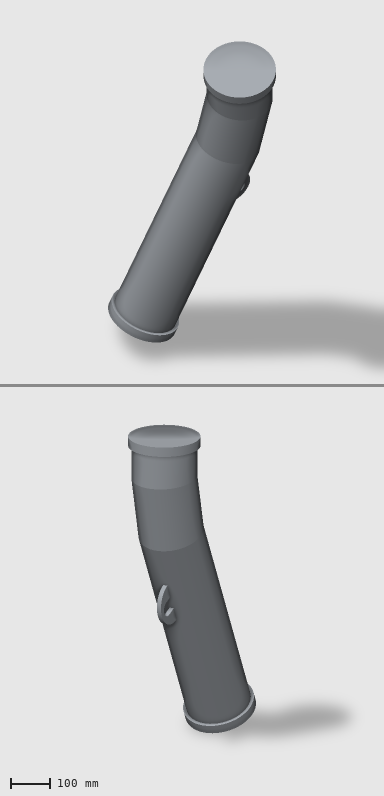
import cadquery as cq
import math

PIPE_DIAMETER = 168.3
PIPE_RADIUS = PIPE_DIAMETER / 2
COLLAR_DIAMETER = 185.0
COLLAR_LENGTH = 25.0

BEND_ANGLE = 25.0
SEGMENT_ANGLE = BEND_ANGLE / 2
TOP_LEG_LENGTH = 107.0
SEGMENT_LENGTH = 164.3
LONG_LEG_LENGTH = 607.2

LUG_RADIUS = 57.5
LUG_THICKNESS = 12.0
LUG_DISTANCE = 167.0
LUG_SLOT_WIDTH = 40.0
LUG_SLOT_REACH = 44.0

MITRE_OVERRUN = PIPE_RADIUS
CUTTER_SIZE = 2000.0


def leg_direction(angle):
    """Downward unit vector tilted from vertical towards -Y."""
    tilt = math.radians(angle)
    return cq.Vector(0, -math.sin(tilt), -math.cos(tilt))


def cylinder(start, direction, length, diameter):
    return cq.Workplane(cq.Solid.makeCylinder(diameter / 2, length, start, direction))


def half_space(origin, direction):
    """Large block lying ahead of a plane that is normal to direction."""
    plane = cq.Plane(origin=origin, xDir=(1, 0, 0), normal=direction)
    return cq.Workplane(plane).rect(CUTTER_SIZE, CUTTER_SIZE).extrude(CUTTER_SIZE)


top_direction = leg_direction(0)
segment_direction = leg_direction(SEGMENT_ANGLE)
long_direction = leg_direction(BEND_ANGLE)

top_end = cq.Vector(0, 0, 0)
upper_joint = top_end + top_direction * TOP_LEG_LENGTH
lower_joint = upper_joint + segment_direction * SEGMENT_LENGTH
bottom_end = lower_joint + long_direction * LONG_LEG_LENGTH

upper_mitre = half_space(upper_joint, leg_direction(SEGMENT_ANGLE / 2))
lower_mitre = half_space(lower_joint, leg_direction((SEGMENT_ANGLE + BEND_ANGLE) / 2))


def make_pipe():
    top_leg = cylinder(top_end, top_direction, TOP_LEG_LENGTH + MITRE_OVERRUN, PIPE_DIAMETER)
    top_leg = top_leg.cut(upper_mitre)

    segment_start = upper_joint - segment_direction * MITRE_OVERRUN
    segment_length = SEGMENT_LENGTH + 2 * MITRE_OVERRUN
    segment = cylinder(segment_start, segment_direction, segment_length, PIPE_DIAMETER)
    segment = segment.intersect(upper_mitre).cut(lower_mitre)

    long_start = lower_joint - long_direction * MITRE_OVERRUN
    long_leg = cylinder(long_start, long_direction, LONG_LEG_LENGTH + MITRE_OVERRUN, PIPE_DIAMETER)
    long_leg = long_leg.intersect(lower_mitre)

    return top_leg.union(segment).union(long_leg)


def make_collar(end, direction_into_pipe):
    return cylinder(end, direction_into_pipe, COLLAR_LENGTH, COLLAR_DIAMETER)


def make_lug():
    """Round plate centred on the pipe surface, with a slot pointing away from the pipe."""
    lug_station = lower_joint + long_direction * LUG_DISTANCE
    outward = leg_direction(BEND_ANGLE - 90)
    plane = cq.Plane(origin=lug_station + outward * PIPE_RADIUS, xDir=outward, normal=(1, 0, 0))
    plate = cq.Workplane(plane).circle(LUG_RADIUS).extrude(LUG_THICKNESS / 2, both=True)
    slot = cq.Workplane(plane).slot2D(2 * LUG_SLOT_REACH, LUG_SLOT_WIDTH)
    return plate.cut(slot.extrude(LUG_THICKNESS / 2, both=True))


pipe = make_pipe()
top_collar = make_collar(top_end, top_direction)
bottom_collar = make_collar(bottom_end, long_direction * -1)

result = make_lug().union(pipe).union(top_collar).union(bottom_collar)